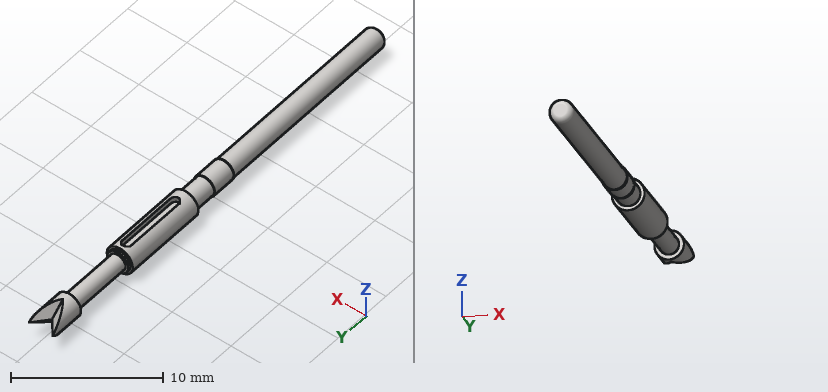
import cadquery as cq

TOTAL_LENGTH = 35.1

BARREL_RING_START = 16.0
RING_LENGTH = 2.0
SLEEVE_START = 20
SLEEVE_LENGTH = 6.85
SLEEVE_COLLAR_LENGTH = 0.2
HEAD_LENGTH = 3.0

SLEEVE_END = SLEEVE_START + SLEEVE_LENGTH
COLLAR_END = SLEEVE_END + SLEEVE_COLLAR_LENGTH
HEAD_START = TOTAL_LENGTH - HEAD_LENGTH

BARREL_DIAMETER = 1.65
RING_DIAMETER = 1.75
SLEEVE_DIAMETER = 2.2
COLLAR_DIAMETER = 1.8
PLUNGER_DIAMETER = 1.35
HEAD_DIAMETER = 2.0

TAIL_ROUNDING = 0.4

SADDLE_DEPTH = 1.2
NOTCH_DEPTH_AT_RIM = 2.35
NOTCH_SCALE = 3

SLOT_WIDTH = 0.75
SLOT_LENGTH = 5.72
SLOT_START = SLEEVE_START + 0.77


def rod(start, end, diameter):
    """Round bar along Y between two stations."""
    plane = cq.Plane(origin=(0, start, 0), xDir=(1, 0, 0), normal=(0, 1, 0))
    return cq.Workplane(plane).circle(diameter / 2).extrude(end - start)


def crown_notch(side):
    """V groove whose valley drops from the axis to past the rim; side is +1 or -1 along Z."""
    valley = TOTAL_LENGTH - SADDLE_DEPTH
    top = valley + NOTCH_SCALE * SADDLE_DEPTH
    half_width = NOTCH_SCALE * HEAD_DIAMETER / 2
    corners = [(0, valley, 0), (half_width, top, 0), (-half_width, top, 0)]
    profile = cq.Wire.makePolygon([cq.Vector(*corner) for corner in corners], close=True)
    drop = NOTCH_DEPTH_AT_RIM - SADDLE_DEPTH
    sweep = cq.Vector(0, -drop, side * HEAD_DIAMETER / 2) * NOTCH_SCALE
    return cq.Workplane(cq.Solid.extrudeLinear(profile, [], sweep))


def sleeve_slot():
    """Round-ended slot from the top of the sleeve down to the plunger inside it."""
    middle = SLOT_START + SLOT_LENGTH / 2
    window = (
        cq.Workplane("XY", origin=(0, middle, 0))
        .slot2D(SLOT_LENGTH, SLOT_WIDTH, 90)
        .extrude(SLEEVE_DIAMETER / 2)
    )
    return window.cut(rod(SLEEVE_START, SLEEVE_END, PLUNGER_DIAMETER))


barrel = rod(0, SLEEVE_START, BARREL_DIAMETER).faces("<Y").edges().fillet(TAIL_ROUNDING)
ring = rod(BARREL_RING_START, BARREL_RING_START + RING_LENGTH, RING_DIAMETER)
sleeve = rod(SLEEVE_START, SLEEVE_END, SLEEVE_DIAMETER).cut(sleeve_slot())
collar = rod(SLEEVE_END, COLLAR_END, COLLAR_DIAMETER)
plunger = rod(COLLAR_END, HEAD_START, PLUNGER_DIAMETER)
head = rod(HEAD_START, TOTAL_LENGTH, HEAD_DIAMETER)
for side in (1, -1):
    head = head.cut(crown_notch(side))

result = barrel.union(ring).union(sleeve).union(collar).union(plunger).union(head)